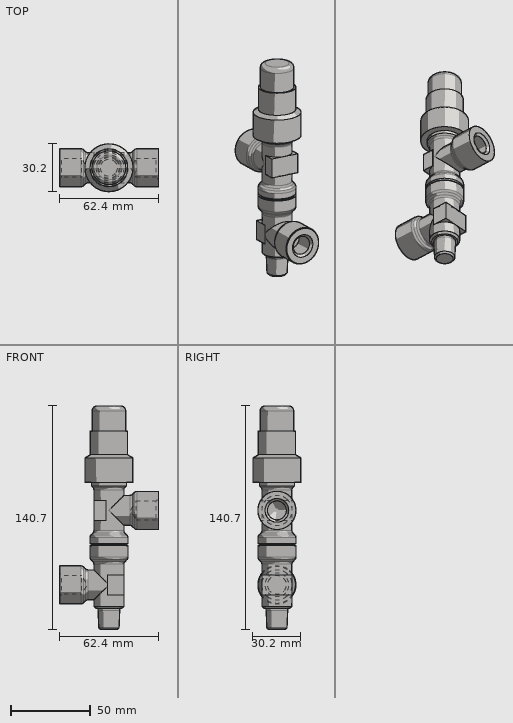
import cadquery as cq
import math

total_height = 140.7
port_reach = 31.2

body_dia = 19.0
large_dia = 24.0
step_height = (large_dia - body_dia) / 2
blend_radius = 2.3

body_bottom = 14.6
foot_dia = 16.3
foot_height = 1.3
tail_top_dia = 13.8
tail_end_dia = 13.0
tail_taper_top = 12.1
tail_chamfer = 1.1

ring_bottom = 44.6
ring_top = 58.8
groove_dia = 21.7
groove_bottom = 52.9
groove_floor_top = 53.5
groove_top = 54.3

neck_dia = 22.2
neck_bottom = 90.5
neck_cone_bottom = neck_bottom - (neck_dia - body_dia) / 2

collar_dia = 30.2
collar_bottom = 92.5
collar_top = 108.0
sleeve_dia = 23.6
sleeve_bottom = 110.0
sleeve_top = 124.8
cap_dia = 21.2
cap_edge_radius = 3.1

upper_port_z = 75.0
lower_port_z = 28.1
port_shoulder = 16.6
lower_port_rim_chamfer = 0.4

bore_mouth_dia = 14.9
bore_dia = 11.8
bore_taper_depth = 1.5
bore_depth = 14.0
drill_point_angle = 118.0

block_height = 12.7
block_reach = body_dia / 2
upper_block_inner = 1.7
lower_block_inner = -0.8


def turned(profile):
    """Solid turned about Z from (diameter, z) points that start and end on the axis."""
    points = [(dia / 2, z) for dia, z in profile]
    return cq.Workplane("XZ").polyline(points).close().revolve(360, (0, 0, 0), (0, 1, 0))


def round_corners(shape, heights, radius):
    """Fillet the circular edges that lie at the given heights of a turned shape."""
    margin = 0.1
    half = collar_dia
    for z in heights:
        box = cq.selectors.BoxSelector((-half, -half, z - margin), (half, half, z + margin))
        shape = shape.edges(box).fillet(radius)
    return shape


def make_stem():
    ring_cone_bottom = ring_bottom - step_height
    ring_cone_top = ring_top + step_height
    foot_bottom = body_bottom - foot_height
    stem = turned([
        (0, 0),
        (tail_end_dia - 2 * tail_chamfer, 0),
        (tail_end_dia, tail_chamfer),
        (tail_top_dia, tail_taper_top),
        (tail_top_dia, foot_bottom),
        (foot_dia, foot_bottom),
        (body_dia, body_bottom),
        (body_dia, ring_cone_bottom),
        (large_dia, ring_bottom),
        (large_dia, groove_bottom),
        (groove_dia, groove_bottom),
        (groove_dia, groove_floor_top),
        (large_dia, groove_top),
        (large_dia, ring_top),
        (body_dia, ring_cone_top),
        (body_dia, neck_cone_bottom),
        (neck_dia, neck_bottom),
        (neck_dia, collar_bottom),
        (collar_dia, collar_bottom),
        (collar_dia, collar_top),
        (sleeve_dia, sleeve_bottom),
        (sleeve_dia, sleeve_top),
        (cap_dia, sleeve_top),
        (cap_dia, total_height),
        (0, total_height),
    ])
    blends = [ring_cone_bottom, ring_bottom, ring_top, ring_cone_top, neck_cone_bottom]
    stem = round_corners(stem, blends, blend_radius)
    return round_corners(stem, [total_height], cap_edge_radius)


def toward_port(shape, side, port_z):
    """Lay a shape built along +Z onto the X axis (side +1 or -1) at the port height."""
    return shape.rotate((0, 0, 0), (0, 1, 0), side * 90).translate((0, 0, port_z))


def make_port(side, port_z, rim_chamfer=0):
    cone_start = port_shoulder - step_height
    port = turned([
        (0, 0),
        (body_dia, 0),
        (body_dia, cone_start),
        (large_dia, port_shoulder),
        (large_dia, port_reach),
        (0, port_reach),
    ])
    port = round_corners(port, [cone_start, port_shoulder], blend_radius)
    if rim_chamfer:
        port = port.faces(">Z").edges().chamfer(rim_chamfer)
    return toward_port(port, side, port_z)


def make_bore(side, port_z):
    """Blind bore with a tapered mouth and a drill point."""
    floor = port_reach - bore_depth
    point_length = bore_dia / 2 / math.tan(math.radians(drill_point_angle / 2))
    bore = turned([
        (0, floor - point_length),
        (bore_dia, floor),
        (bore_dia, port_reach - bore_taper_depth),
        (bore_mouth_dia, port_reach),
        (0, port_reach),
    ])
    return toward_port(bore, side, port_z)


def make_block(side, center_z, inner):
    """Wrench block from inner to block_reach, measured out from the stem axis."""
    length = block_reach - inner
    center_x = side * (inner + length / 2)
    return cq.Workplane("XY").box(length, body_dia, block_height).translate((center_x, 0, center_z))


result = (
    make_stem()
    .union(make_port(1, upper_port_z))
    .union(make_port(-1, lower_port_z, lower_port_rim_chamfer))
    .union(make_block(-1, upper_port_z, upper_block_inner))
    .union(make_block(1, lower_port_z, lower_block_inner))
    .cut(make_bore(1, upper_port_z))
    .cut(make_bore(-1, lower_port_z))
)